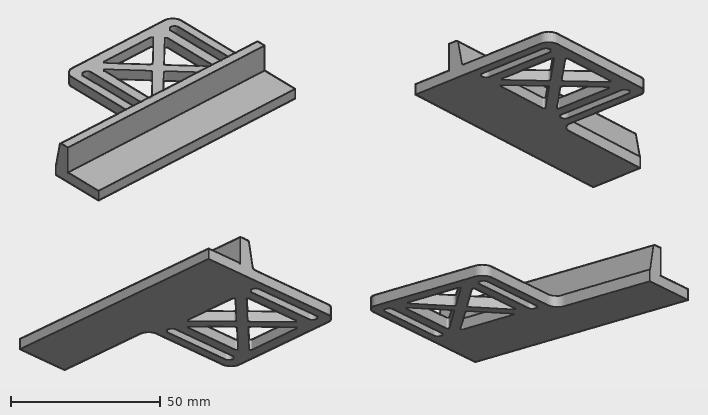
import cadquery as cq
import math

rail_length = 90.0
total_width = 60.0
total_height = 14.0
base_thickness = 4.0

rail_left = 39.0
wall_right = 45.0
wall_base_width = 5.9
wall_top_width = 4.0
wall_fillet = 1.0

plate_length = 50.0
plate_corner_radius = 4.0
plate_front = rail_length - plate_length
plate_center_y = rail_length - plate_length / 2

opening_left = 4.4
opening_width = 30.15
opening_center_x = opening_left + opening_width / 2
slot_width = 3.4
slot_edge_distance = 5.0
window_height = 29.0
brace_width = 3.8
window_corner_radius = 0.5
window_apex_radius = 1.0


def make_blank():
    """Full-length tapered wall on a full-width base, to be trimmed to the footprint."""
    wall_foot = wall_right - wall_base_width
    profile = (
        cq.Workplane("XZ", origin=(0, rail_length, 0))
        .moveTo(0, 0)
        .lineTo(total_width, 0)
        .lineTo(total_width, base_thickness)
        .lineTo(wall_right, base_thickness)
        .lineTo(wall_right, total_height)
        .lineTo(wall_right - wall_top_width, total_height)
        .lineTo(wall_foot, base_thickness)
        .lineTo(0, base_thickness)
        .close()
        .extrude(rail_length)
    )
    foot_edge = cq.selectors.NearestToPointSelector((wall_foot, rail_length / 2, base_thickness))
    top_edge = cq.selectors.NearestToPointSelector(
        (wall_right - wall_top_width, rail_length / 2, total_height)
    )
    return profile.edges("|Y").edges(foot_edge + top_edge).fillet(wall_fillet)


def make_footprint():
    """Full-height L-shaped outline with rounded plate corners."""
    outline = (
        cq.Workplane("XY")
        .moveTo(rail_left, 0)
        .lineTo(total_width, 0)
        .lineTo(total_width, rail_length)
        .lineTo(0, rail_length)
        .lineTo(0, plate_front)
        .lineTo(rail_left, plate_front)
        .close()
        .extrude(total_height)
    )
    inner_corner = cq.selectors.NearestToPointSelector((rail_left, plate_front, total_height / 2))
    outline = outline.edges("|Z").edges(inner_corner).fillet(plate_corner_radius)
    return outline.edges("|Z and <X").fillet(plate_corner_radius)


def make_slots():
    """Two round-ended slots along the near and far plate edges."""
    offset = plate_length / 2 - slot_edge_distance
    return (
        cq.Workplane("XY", origin=(opening_center_x, plate_center_y, 0))
        .pushPoints([(0, -offset), (0, offset)])
        .slot2D(opening_width, slot_width)
        .extrude(base_thickness)
    )


def make_windows():
    """Four triangular windows left between crossed diagonal braces."""
    center = (opening_center_x, plate_center_y, 0)
    windows = cq.Workplane("XY", origin=center).rect(opening_width, window_height).extrude(base_thickness)
    diagonal_angle = math.degrees(math.atan2(window_height, opening_width))
    brace_length = 2 * math.hypot(opening_width, window_height)
    for angle in (diagonal_angle, -diagonal_angle):
        brace = (
            cq.Workplane("XY", origin=center)
            .transformed(rotate=(0, 0, angle))
            .rect(brace_length, brace_width)
            .extrude(base_thickness)
        )
        windows = windows.cut(brace)
    apex_zone = cq.selectors.BoxSelector(
        (opening_center_x - brace_width, plate_center_y - brace_width, 0),
        (opening_center_x + brace_width, plate_center_y + brace_width, base_thickness),
    )
    outer_zone = cq.selectors.InverseSelector(apex_zone)
    windows = windows.edges("|Z").edges(outer_zone).fillet(window_corner_radius)
    return windows.edges("|Z").edges(apex_zone).fillet(window_apex_radius)


result = (
    make_blank()
    .intersect(make_footprint())
    .cut(make_slots())
    .cut(make_windows())
)